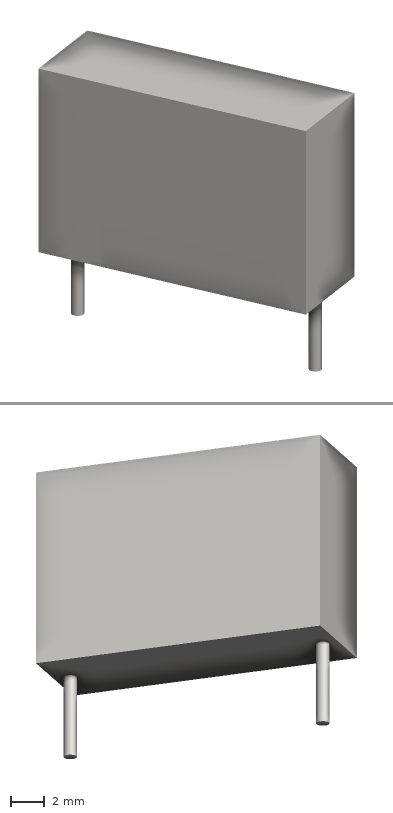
import cadquery as cq

case_length = 18.0
case_width = case_length / 3
case_height = 2 * case_width

lead_diameter = 0.8
lead_length = 5.0
lead_pitch = 16.0


def make_case():
    """Rectangular case that stands on the Z = 0 plane."""
    return cq.Workplane("XY").box(case_length, case_width, case_height, centered=(True, True, False))


def make_lead(x):
    """Round lead at the given X that ends flush against the base of the case."""
    return cq.Workplane("XY").center(x, 0).circle(lead_diameter / 2).extrude(-lead_length)


case = make_case()
leads = [make_lead(side * lead_pitch / 2) for side in (-1, 1)]

result = cq.Compound.makeCompound([case.val(), *[lead.val() for lead in leads]])